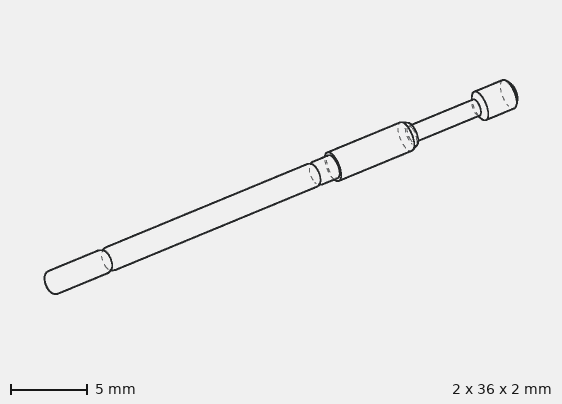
import cadquery as cq

length = 36.0

head_radius = 1.0
stem_radius = 0.58
tube_radius = 0.81

dome_height = 0.45
head_straight = 2.2
head_back_cone = 0.3

sleeve_front = 28.05
sleeve_length = 6.1
sleeve_chamfer_length = 0.45

tail_fillet = 0.342
front_crimp = (20.55, 0.2, 0.1)
rear_crimp = (4.45, 0.32, 0.15)


def revolve_about_axis(profile):
    """Revolve a closed half profile (X = radius) about the Y axis."""
    return profile.close().revolve(360, (0, 0, 0), (0, 1, 0))


def make_tail_tube():
    """Barrel tube with a rounded tail end."""
    tube = cq.Workplane("XZ").circle(tube_radius).extrude(-sleeve_front)
    return tube.faces("<Y").edges().fillet(tail_fillet)


def make_sleeve():
    """Collar with a cone leading down to the tube radius at its front."""
    rear = sleeve_front - sleeve_length
    profile = (
        cq.Workplane("XY")
        .moveTo(0, rear)
        .lineTo(head_radius, rear)
        .lineTo(head_radius, sleeve_front - sleeve_chamfer_length)
        .lineTo(tube_radius, sleeve_front)
        .lineTo(0, sleeve_front)
    )
    return revolve_about_axis(profile)


def make_plunger():
    """Thin stem carrying a head with a conical back and a spherical dome."""
    dome_base = length - dome_height
    cone_front = dome_base - head_straight
    dome_sphere_radius = (head_radius**2 + dome_height**2) / (2 * dome_height)
    mid_radius = head_radius / 2
    mid_y = length - dome_sphere_radius + (dome_sphere_radius**2 - mid_radius**2) ** 0.5
    profile = (
        cq.Workplane("XY")
        .moveTo(0, sleeve_front)
        .lineTo(stem_radius, sleeve_front)
        .lineTo(stem_radius, cone_front - head_back_cone)
        .lineTo(head_radius, cone_front)
        .lineTo(head_radius, dome_base)
        .threePointArc((mid_radius, mid_y), (0, length))
    )
    return revolve_about_axis(profile)


def make_crimp(center, half_width, depth):
    """Ring to cut away: the wall curves inward from both sides to a sharp root."""
    arc_radius = (half_width**2 + depth**2) / (2 * depth)
    half_step = half_width / 2
    mid_radius = tube_radius - arc_radius + (arc_radius**2 - half_step**2) ** 0.5
    profile = (
        cq.Workplane("XY")
        .moveTo(tube_radius, center - half_width)
        .threePointArc((mid_radius, center - half_step), (tube_radius - depth, center))
        .threePointArc((mid_radius, center + half_step), (tube_radius, center + half_width))
        .lineTo(head_radius, center + half_width)
        .lineTo(head_radius, center - half_width)
    )
    return revolve_about_axis(profile)


result = make_tail_tube().union(make_sleeve()).union(make_plunger())
for crimp in (front_crimp, rear_crimp):
    result = result.cut(make_crimp(*crimp))